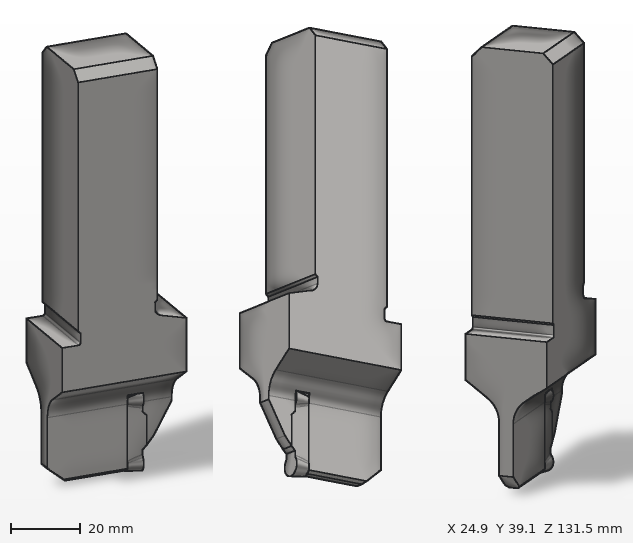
import cadquery as cq
import math


total_height = 131.51
width = 24.93
head_depth = 39.1

shank_front = 5.0
shank_depth = width
shank_back = shank_front + shank_depth
top_chamfer = 3.0
front_relief_depth = 0.8
back_relief_depth = 0.75
relief_run_out = 0.75

front_step_z = 47.3
front_relief_top = 51.6
front_relief_radius = 0.7
back_relief_top = 57.3
back_step_edge_z = 50.1
back_step_angle = math.radians(15)
back_relief_radius = 2.6

blade_thickness = 4.4
blade_bottom = 1.2
blade_edge_chamfer = 0.9
blade_front_chamfer = (6.0, 5.0)
flare_top_z = 33.6
flare_angle = math.radians(35)
flare_radius = 8.3
back_slope_top_z = 20.9
back_slope_knee = (33.5, 11.1)

insert_back = shank_back
insert_depth = 4.8
insert_front = insert_back - insert_depth
tip_radius = 3.1
tip_heel_radius = 2.45
insert_top = 24.9
upper_tip_z = 22.85
neck_radius = 1.5
ridge_height = 1.2
ridge_bottom = 7.1
ridge_top = tip_radius + upper_tip_z - ridge_bottom


def make_side_profile():
    """Side silhouette of the holder, extruded across the full width."""
    front_relief_y = shank_front + front_relief_depth
    back_relief_y = shank_back - back_relief_depth
    back_step_root_z = back_step_edge_z + (head_depth - back_relief_y) * math.tan(back_step_angle)
    ridge_crest_y = insert_back + ridge_height
    front_chamfer_y, front_chamfer_z = blade_front_chamfer
    body = (
        cq.Workplane("YZ")
        .moveTo(front_chamfer_y, blade_bottom)
        .lineTo(insert_back, blade_bottom)
        .lineTo(insert_back, ridge_bottom)
        .lineTo(ridge_crest_y, ridge_bottom + ridge_height)
        .lineTo(*back_slope_knee)
        .lineTo(head_depth, back_slope_top_z)
        .lineTo(head_depth, back_step_edge_z)
        .lineTo(back_relief_y, back_step_root_z)
        .lineTo(back_relief_y, back_relief_top - relief_run_out)
        .lineTo(shank_back, back_relief_top)
        .lineTo(shank_back, total_height)
        .lineTo(shank_front, total_height)
        .lineTo(shank_front, front_relief_top)
        .lineTo(front_relief_y, front_relief_top - relief_run_out)
        .lineTo(front_relief_y, front_step_z)
        .lineTo(0, front_step_z)
        .lineTo(0, blade_bottom + front_chamfer_z)
        .close()
        .extrude(width / 2, both=True)
    )
    body = round_corner(body, back_relief_y, back_step_root_z, back_relief_radius)
    return round_corner(body, front_relief_y, front_step_z, front_relief_radius)


def round_corner(body, y, z, radius):
    """Fillet the edge along X that passes nearest to the given Y and Z."""
    return body.edges(cq.selectors.NearestToPointSelector((0, y, z))).fillet(radius)


def make_front_profile():
    """Front silhouette of the holder: shank, flare and blade, extruded through the head depth."""
    half_width = width / 2
    half_blade = blade_thickness / 2
    turn = math.pi / 2 - flare_angle
    flare_corner_z = flare_top_z - (half_width - half_blade) * math.tan(flare_angle)
    tangent_length = flare_radius * math.tan(turn / 2)
    arc_bottom_z = flare_corner_z - tangent_length
    arc_top_x = half_blade + tangent_length * math.cos(flare_angle)
    arc_top_z = flare_corner_z + tangent_length * math.sin(flare_angle)
    arc_middle_x = half_blade + flare_radius * (1 - math.cos(turn / 2))
    arc_middle_z = arc_bottom_z + flare_radius * math.sin(turn / 2)
    return (
        cq.Workplane("XZ")
        .moveTo(0, blade_bottom)
        .lineTo(half_blade - blade_edge_chamfer, blade_bottom)
        .lineTo(half_blade, blade_bottom + blade_edge_chamfer)
        .lineTo(half_blade, arc_bottom_z)
        .threePointArc((arc_middle_x, arc_middle_z), (arc_top_x, arc_top_z))
        .lineTo(half_width, flare_top_z)
        .lineTo(half_width, total_height - top_chamfer)
        .lineTo(half_width - top_chamfer, total_height)
        .lineTo(0, total_height)
        .mirrorY()
        .extrude(-head_depth)
    )


def make_insert_side(half_width):
    """Side outline of the insert with the ridge between its tips, extruded across X."""
    return (
        cq.Workplane("YZ")
        .moveTo(insert_front, tip_radius)
        .lineTo(insert_back, tip_radius)
        .lineTo(insert_back, ridge_bottom)
        .lineTo(insert_back + ridge_height, ridge_bottom + ridge_height)
        .lineTo(insert_back + ridge_height, ridge_top - ridge_height)
        .lineTo(insert_back, ridge_top)
        .lineTo(insert_back, insert_top)
        .lineTo(insert_front, insert_top)
        .close()
        .extrude(half_width, both=True)
    )


def make_seat():
    """Open seat cut through the blade for the insert."""
    below_blade = (
        cq.Workplane("XY")
        .box(width, insert_depth, tip_radius, centered=(True, False, False))
        .translate((0, insert_front, 0))
    )
    return make_insert_side(width / 2).union(below_blade)


def make_tip(axis_z):
    """Round tip tapering from the rake face towards the front."""
    cone = cq.Solid.makeCone(
        tip_radius, tip_heel_radius, insert_depth,
        cq.Vector(0, insert_back, axis_z), cq.Vector(0, -1, 0),
    )
    return cq.Workplane(cone)


def blend_necks(insert):
    """Fillet the four edges where the flat sides meet the round tips."""
    half_blade = blade_thickness / 2
    middle_y = (insert_front + insert_back) / 2
    middle_radius = (tip_radius + tip_heel_radius) / 2
    neck_reach = math.sqrt(middle_radius**2 - half_blade**2)
    necks = []
    for neck_z in (tip_radius + neck_reach, upper_tip_z - neck_reach):
        for neck_x in (-half_blade, half_blade):
            nearest = cq.selectors.NearestToPointSelector((neck_x, middle_y, neck_z))
            necks.append(insert.edges(nearest).val())
    return insert.newObject([insert.val().fillet(neck_radius, necks)])


def make_insert():
    """Flat bar with a round tip at each end, the upper one cut flat to sit in the holder."""
    insert = make_insert_side(blade_thickness / 2)
    for axis_z in (tip_radius, upper_tip_z):
        insert = insert.union(make_tip(axis_z))
    insert = blend_necks(insert)
    flat_top = (
        cq.Workplane("XY")
        .workplane(offset=insert_top)
        .center(0, head_depth / 2)
        .rect(width, head_depth)
        .extrude(tip_radius)
    )
    return insert.cut(flat_top)


holder = make_side_profile().intersect(make_front_profile()).cut(make_seat())
insert = make_insert()

result = cq.Compound.makeCompound([holder.solids().val(), insert.solids().val()])